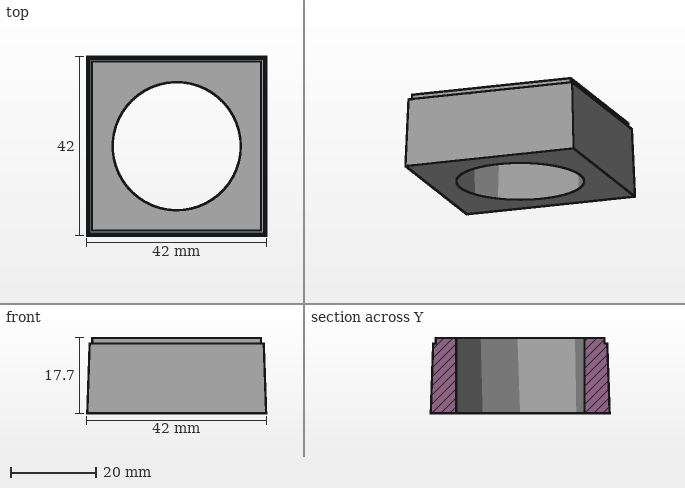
import cadquery as cq

base_side = 42.0
total_height = 17.7
bore_diameter = 30.0

step_height = 1.25
step_side = 39.6
ledge_width = 0.65

body_height = total_height - step_height
body_top_side = step_side + 2 * ledge_width


def tapered_body():
    """Square block whose four sides lean inward toward the top."""
    return (
        cq.Workplane("XY")
        .rect(base_side, base_side)
        .workplane(offset=body_height)
        .rect(body_top_side, body_top_side)
        .loft(ruled=True)
    )


def top_step():
    """Straight-sided square step, set in from the body's top edge."""
    return (
        cq.Workplane("XY")
        .workplane(offset=body_height)
        .rect(step_side, step_side)
        .extrude(step_height)
    )


def through_bore():
    """Round bore through the full height."""
    return cq.Workplane("XY").circle(bore_diameter / 2).extrude(total_height)


result = tapered_body().union(top_step()).cut(through_bore())